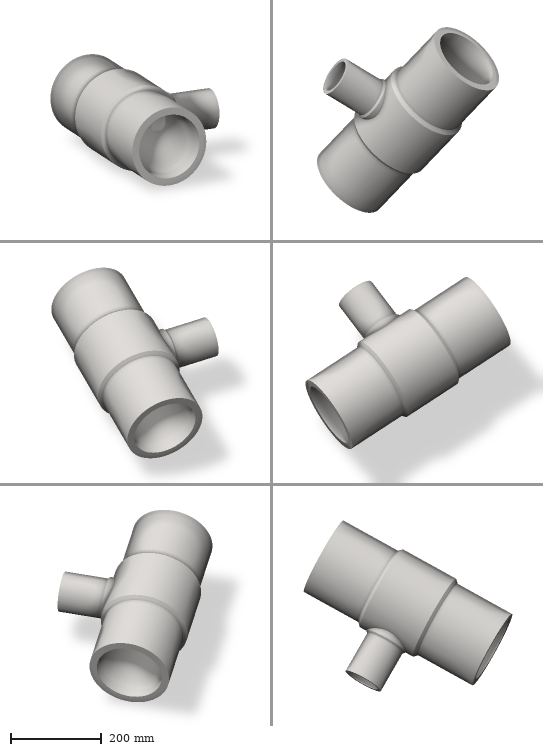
import cadquery as cq

pipe_length = 427.0
pipe_diameter = 180.0
bore_diameter = 147.0

body_length = 150.7
body_diameter = 196.5
body_chamfer = (body_diameter - pipe_diameter) / 2

branch_reach = 201.0
branch_diameter = 89.5
branch_wall = 8.0
branch_bore_diameter = branch_diameter - 2 * branch_wall

collar_diameter = 98.0
collar_reach = 103.8
collar_chamfer = (collar_diameter - branch_diameter) / 2


def cylinder_along_x(diameter, length):
    """Cylinder on the X axis, centred on the origin."""
    return cq.Workplane("YZ").circle(diameter / 2).extrude(length / 2, both=True)


def cylinder_along_y(diameter, reach):
    """Cylinder from the main axis out to Y = reach."""
    return cq.Workplane("XZ").circle(diameter / 2).extrude(-reach)


pipe = cylinder_along_x(pipe_diameter, pipe_length)
body = cylinder_along_x(body_diameter, body_length).edges().chamfer(body_chamfer)
branch = cylinder_along_y(branch_diameter, branch_reach)
collar = cylinder_along_y(collar_diameter, collar_reach).faces(">Y").chamfer(collar_chamfer)

main_bore = cylinder_along_x(bore_diameter, pipe_length)
branch_bore = cylinder_along_y(branch_bore_diameter, branch_reach)

result = pipe.union(body).union(collar).union(branch).cut(main_bore).cut(branch_bore)